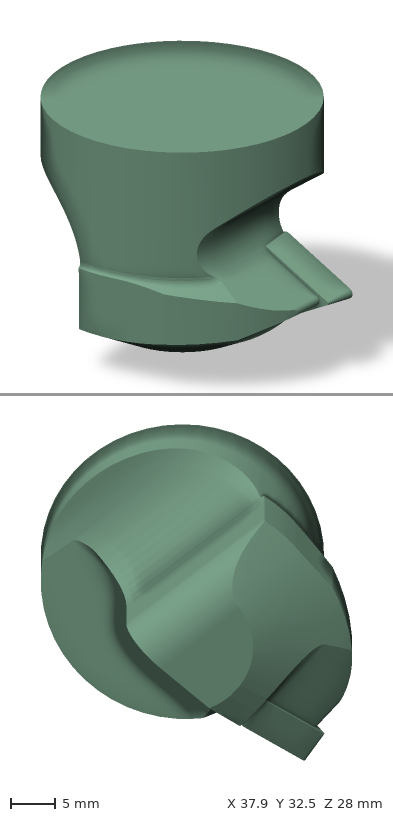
import cadquery as cq
import math

OVERALL_LENGTH = 37.87
OVERALL_WIDTH = 32.5
SHANK_RADIUS = 32.0 / 2
TOTAL_HEIGHT = 28.0
HEAD_RADIUS = OVERALL_WIDTH - SHANK_RADIUS
HEAD_HALF_HEIGHT = 3.75
ROOT_RADIUS = 0.65
BIG = 75.75

TIP_X = OVERALL_LENGTH - SHANK_RADIUS
TIP_Z = -19.8
RAKE_ANGLE = 9.3
HALF_POINT = 27.5
SLOPE = math.tan(math.radians(HALF_POINT))
SIN_POINT = math.sin(math.radians(HALF_POINT))
COS_POINT = math.cos(math.radians(HALF_POINT))

DISC_THICKNESS = 7.12
WALL_X = -4.7
NECK_RADIUS = 10.1
TOE_RADIUS = 5.07

FLAT_END_X = 6.63
FLANK_POINTS = [(13.82, -13.35), (16.85, -10.7)]
FLANK_END = (18.95, -7.2)

BODY_APEX_SETBACK = 1.1
BODY_NOSE_RADIUS = 0.55
UPPER_GROOVE_X = -10.53
UPPER_GROOVE_RADIUS = 3.95
UPPER_GROOVE_ANGLE = 41.0
LOWER_GROOVE_X = -9.77
LOWER_GROOVE_RADIUS = 4.4 / 2
LOWER_GROOVE_END = 188.0

UNDERSIDE_TIP_Z = -10.53
UNDERSIDE_SLOPE = 0.085
UNDERSIDE_FILLET = 1.0

INSERT_NOSE_RADIUS = 0.7
INSERT_HALF_WIDTH = 5.3
INSERT_THICKNESS = 3.85
INSERT_CLEARANCE = 7.0


def rake_plane(z):
    """Plane of the rake face, origin under or over the tip, normal into the body."""
    angle = math.radians(RAKE_ANGLE)
    return cq.Workplane(
        cq.Plane(
            origin=(TIP_X, 0, z),
            xDir=(math.cos(angle), -math.sin(angle), 0),
            normal=(-math.sin(angle), -math.cos(angle), 0),
        )
    )


def make_turned_blank():
    """Shank with a double-cone head whose flanks meet at the tip height."""
    cone_radius = HEAD_RADIUS + HEAD_HALF_HEIGHT / SLOPE
    root_z = TIP_Z + (cone_radius - SHANK_RADIUS) * SLOPE
    bottom_radius = cone_radius - (TOTAL_HEIGHT + TIP_Z) / SLOPE
    tangent_length = ROOT_RADIUS * math.tan(math.radians((90 - HALF_POINT) / 2))
    start = (SHANK_RADIUS, root_z + tangent_length)
    end = (SHANK_RADIUS + tangent_length * COS_POINT, root_z - tangent_length * SIN_POINT)
    mid_angle = math.radians((90 - HALF_POINT) / 2)
    middle = (
        SHANK_RADIUS + ROOT_RADIUS * (1 - math.cos(mid_angle)),
        start[1] - ROOT_RADIUS * math.sin(mid_angle),
    )
    return (
        cq.Workplane("XZ")
        .lineTo(SHANK_RADIUS, 0)
        .lineTo(*start)
        .threePointArc(middle, end)
        .lineTo(cone_radius, TIP_Z)
        .lineTo(bottom_radius, -TOTAL_HEIGHT)
        .lineTo(0, -TOTAL_HEIGHT)
        .close()
        .revolve(360, (0, 0, 0), (0, 1, 0))
    )


def make_plan_envelope():
    """Plan outline that trims the front flank of the head."""
    return (
        cq.Workplane("XY")
        .moveTo(0, HEAD_RADIUS)
        .threePointArc((-HEAD_RADIUS, 0), (0, -HEAD_RADIUS))
        .lineTo(FLAT_END_X, -HEAD_RADIUS)
        .spline([*FLANK_POINTS, FLANK_END], includeCurrent=True)
        .lineTo(BIG, FLANK_END[1])
        .lineTo(BIG, BIG)
        .lineTo(0, BIG)
        .close()
        .extrude(-TOTAL_HEIGHT)
    )


def make_neck_envelope():
    """Side outline with the large neck arc and the rounded toe."""
    neck_x = WALL_X - NECK_RADIUS
    return (
        cq.Workplane("XZ")
        .moveTo(-BIG, 0)
        .lineTo(-BIG, -DISC_THICKNESS)
        .lineTo(neck_x, -DISC_THICKNESS)
        .radiusArc((WALL_X, -DISC_THICKNESS - NECK_RADIUS), NECK_RADIUS)
        .lineTo(WALL_X, TOE_RADIUS - TOTAL_HEIGHT)
        .radiusArc((WALL_X + TOE_RADIUS, -TOTAL_HEIGHT), -TOE_RADIUS)
        .lineTo(BIG, -TOTAL_HEIGHT)
        .lineTo(BIG, 0)
        .close()
        .extrude(BIG, both=True)
    )


def circle_point(center, radius, degrees):
    """Point on a circle at an angle from its local X axis."""
    angle = math.radians(degrees)
    return (center[0] + radius * math.cos(angle), center[1] + radius * math.sin(angle))


def make_front_cutter():
    """Space in front of the body: upper groove, pointed nose and lower groove."""
    apex = -BODY_APEX_SETBACK
    upper_x = UPPER_GROOVE_X + UPPER_GROOVE_RADIUS
    upper = (upper_x, (apex - upper_x) * SLOPE + UPPER_GROOVE_RADIUS / COS_POINT)
    lower_x = LOWER_GROOVE_X + LOWER_GROOVE_RADIUS
    lower = (lower_x, -(apex - lower_x) * SLOPE - LOWER_GROOVE_RADIUS / COS_POINT)
    nose = (apex - BODY_NOSE_RADIUS / SIN_POINT, 0)
    nose_angle = 90 - HALF_POINT

    rise_angle = 90 + UPPER_GROOVE_ANGLE
    rise_start = circle_point(upper, UPPER_GROOVE_RADIUS, rise_angle)
    rise_end_z = rise_start[1] + (BIG - rise_start[0]) * math.tan(math.radians(UPPER_GROOVE_ANGLE))
    heel_start = circle_point(lower, LOWER_GROOVE_RADIUS, LOWER_GROOVE_END)
    heel_end_z = heel_start[1] - (BIG + heel_start[0]) * SLOPE
    return (
        rake_plane(TIP_Z)
        .moveTo(BIG, rise_end_z)
        .lineTo(*rise_start)
        .threePointArc(
            circle_point(upper, UPPER_GROOVE_RADIUS, 180),
            circle_point(upper, UPPER_GROOVE_RADIUS, 270 - HALF_POINT),
        )
        .lineTo(*circle_point(nose, BODY_NOSE_RADIUS, nose_angle))
        .threePointArc(
            circle_point(nose, BODY_NOSE_RADIUS, 0),
            circle_point(nose, BODY_NOSE_RADIUS, -nose_angle),
        )
        .lineTo(*circle_point(lower, LOWER_GROOVE_RADIUS, 90 + HALF_POINT))
        .threePointArc(
            circle_point(lower, LOWER_GROOVE_RADIUS, (90 + HALF_POINT + LOWER_GROOVE_END) / 2),
            heel_start,
        )
        .lineTo(-BIG, heel_end_z)
        .lineTo(BIG, heel_end_z)
        .close()
        .extrude(BIG, both=True)
    )


def make_back_cutter():
    """Space behind the rake plane, below the sloping underside of the disc."""
    drop = BIG * UNDERSIDE_SLOPE
    return (
        rake_plane(UNDERSIDE_TIP_Z)
        .polyline([(-BIG, drop), (BIG, -drop), (BIG, -BIG), (-BIG, -BIG)])
        .close()
        .extrude(-BIG)
        .edges(cq.selectors.NearestToPointSelector((TIP_X, 0, UNDERSIDE_TIP_Z)))
        .fillet(UNDERSIDE_FILLET)
    )


def make_insert():
    """Rhombic 55 degree insert, tapering by its clearance angle below the rake face."""
    half_length = INSERT_HALF_WIDTH / SLOPE
    apex = INSERT_NOSE_RADIUS * (1 / SIN_POINT - 1)
    center = apex - half_length
    corners = [
        (apex, 0),
        (center, INSERT_HALF_WIDTH),
        (center - half_length, 0),
        (center, -INSERT_HALF_WIDTH),
        (apex, 0),
    ]
    outline = cq.Sketch().polygon(corners).vertices().fillet(INSERT_NOSE_RADIUS)
    return rake_plane(TIP_Z).placeSketch(outline).extrude(INSERT_THICKNESS, taper=INSERT_CLEARANCE)


def make_holder(insert):
    """Cutting head with a seat that matches the insert."""
    blank = make_turned_blank().intersect(make_plan_envelope()).intersect(make_neck_envelope())
    return blank.cut(make_front_cutter()).cut(make_back_cutter()).cut(insert).solids()


insert = make_insert()
holder = make_holder(insert)
result = cq.Compound.makeCompound([holder.val(), insert.val()])